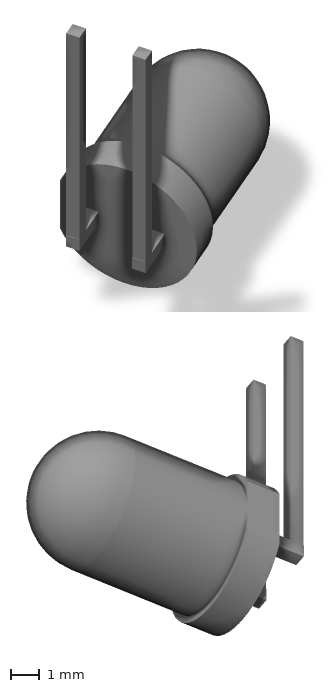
import cadquery as cq

lens_radius = 2.5
barrel_length = 4.51
flange_radius = 2.75
flange_thickness = 1.29
flat_offset = lens_radius

lead_pitch = 2.54
leg_size = 0.51
foot_height = 0.54
foot_length = 1.54
foot_overhang = 0.01
lead_top = 9.99


def make_lens():
    """Revolve the domed profile about the Y axis and cut the flange flat."""
    flange_front = flange_thickness
    dome_start = flange_front + barrel_length
    dome_mid = lens_radius * 0.5 ** 0.5
    lens = (
        cq.Workplane("XY")
        .lineTo(flange_radius, 0)
        .lineTo(flange_radius, flange_front)
        .lineTo(lens_radius, flange_front)
        .lineTo(lens_radius, dome_start)
        .threePointArc((dome_mid, dome_start + dome_mid), (0, dome_start + lens_radius))
        .close()
        .revolve(360, (0, 0, 0), (0, 1, 0))
    )
    flat_cut = cq.Workplane("XY").box(
        flange_radius, flange_thickness, 2 * flange_radius, centered=(False, False, True)
    ).translate((-flat_offset - flange_radius, 0, 0))
    return lens.cut(flat_cut)


def make_lead(center_x):
    """Draw the L-shaped side outline in YZ and extrude it across X."""
    foot_end = -foot_length
    leg_rear = foot_end + foot_overhang
    leg_front = leg_rear + leg_size
    foot_top = foot_height / 2
    return (
        cq.Workplane("YZ")
        .polyline([
            (0, -foot_top),
            (foot_end, -foot_top),
            (foot_end, foot_top),
            (leg_rear, foot_top),
            (leg_rear, lead_top),
            (leg_front, lead_top),
            (leg_front, foot_top),
            (0, foot_top),
        ])
        .close()
        .extrude(leg_size / 2, both=True)
        .translate((center_x, 0, 0))
    )


lens = make_lens()
leads = [make_lead(side * lead_pitch / 2) for side in (-1, 1)]

result = cq.Compound.makeCompound([lens.val(), *[lead.val() for lead in leads]])